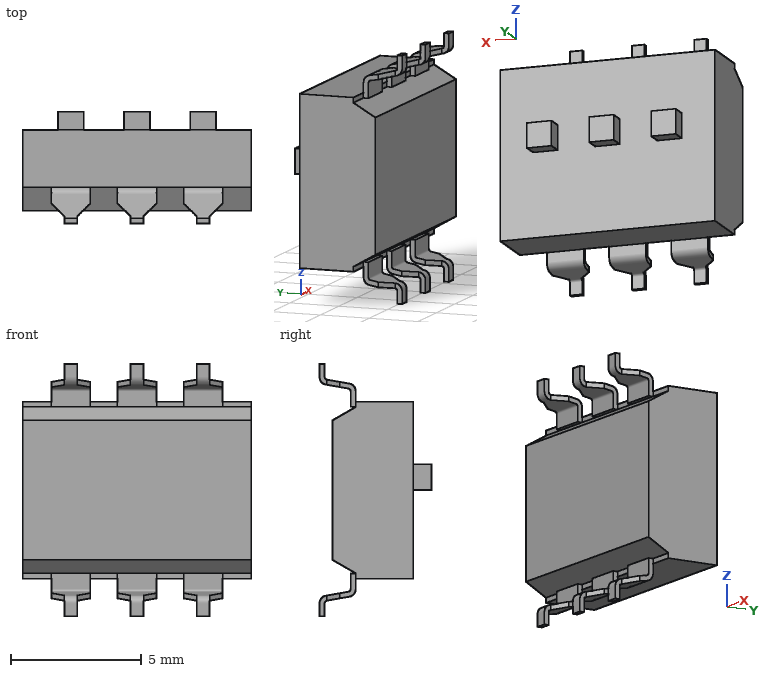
import cadquery as cq
import math


overall_height = 9.69
overall_depth = 4.3

lead_pitch = 2.54
leads_per_row = 3
sheet_thickness = 0.2
inner_bend_radius = 0.1
wide_width = 1.5
narrow_width = 0.5
lead_front = -1.4
tip_length = 0.5
shoulder_angle = 10.0

housing_width = 8.78
housing_height = 6.8
housing_front = -0.9
bevel_angle = 30.0
seat_height = 0.2

pad_side = 1.0
pad_height = 0.7

half_height = housing_height / 2
seat_edge = half_height - seat_height
bevel_edge = seat_edge + housing_front * math.tan(math.radians(bevel_angle))
housing_back = lead_front + overall_depth - pad_height
lead_places = [(i - (leads_per_row - 1) / 2) * lead_pitch for i in range(leads_per_row)]

tip_end = overall_height / 2
outer_bend_radius = inner_bend_radius + sheet_thickness
slope = math.radians(shoulder_angle)
root_bend_y = -outer_bend_radius
tip_bend_y = lead_front + outer_bend_radius
tip_bend_z = tip_end - tip_length
bend_run = root_bend_y - tip_bend_y
bend_rise = (outer_bend_radius + inner_bend_radius) / math.cos(slope) + bend_run * math.tan(slope)
root_bend_z = tip_bend_z - bend_rise


def make_housing():
    """Block with bevelled front edges and a row of standoff pads on its back face."""
    outline = [
        (housing_back, half_height),
        (0, half_height),
        (0, seat_edge),
        (housing_front, bevel_edge),
        (housing_front, -bevel_edge),
        (0, -seat_edge),
        (0, -half_height),
        (housing_back, -half_height),
    ]
    block = cq.Workplane("YZ").polyline(outline).close().extrude(housing_width / 2, both=True)
    for x in lead_places:
        pad = cq.Workplane("XY").box(pad_side, pad_height, pad_side, centered=(True, False, False))
        block = block.union(pad.translate((x, housing_back, 0)))
    return block


def bend_point(center_y, center_z, radius, angle):
    """Point (Y, Z) on a bend, at an angle in degrees from +Y towards +Z."""
    turn = math.radians(angle)
    return (center_y + radius * math.cos(turn), center_z + radius * math.sin(turn))


def root_point(radius, angle):
    return bend_point(root_bend_y, root_bend_z, radius, angle)


def tip_point(radius, angle):
    return bend_point(tip_bend_y, tip_bend_z, radius, angle)


def make_lead_sheet():
    """Bent sheet of full width for a lead of the top row, centred in X."""
    root_stop = 90 - shoulder_angle
    root_middle = root_stop / 2
    tip_start = 270 - shoulder_angle
    tip_middle = (tip_start + 180) / 2
    inner, outer = inner_bend_radius, outer_bend_radius
    return (
        cq.Workplane("YZ")
        .moveTo(0, seat_edge)
        .lineTo(*root_point(outer, 0))
        .threePointArc(root_point(outer, root_middle), root_point(outer, root_stop))
        .lineTo(*tip_point(inner, tip_start))
        .threePointArc(tip_point(inner, tip_middle), tip_point(inner, 180))
        .lineTo(lead_front + sheet_thickness, tip_end)
        .lineTo(lead_front, tip_end)
        .lineTo(*tip_point(outer, 180))
        .threePointArc(tip_point(outer, tip_middle), tip_point(outer, tip_start))
        .lineTo(*root_point(inner, root_stop))
        .threePointArc(root_point(inner, root_middle), root_point(inner, 0))
        .lineTo(-sheet_thickness, seat_edge)
        .close()
        .extrude(wide_width / 2, both=True)
    )


def make_lead_blank():
    """Prism along Z that narrows the sheet at 45 degrees, from the shoulder to the tip bend."""
    half_wide = wide_width / 2
    half_narrow = narrow_width / 2
    taper_end = tip_bend_y - inner_bend_radius * math.sin(slope)
    taper_start = taper_end + half_wide - half_narrow
    outline = [
        (half_wide, 0),
        (half_wide, taper_start),
        (half_narrow, taper_end),
        (half_narrow, lead_front),
        (-half_narrow, lead_front),
        (-half_narrow, taper_end),
        (-half_wide, taper_start),
        (-half_wide, 0),
    ]
    return cq.Workplane("XY").polyline(outline).close().extrude(tip_end)


def make_leads():
    """Top and bottom rows of leads, the bottom row mirrored from the top one."""
    top_lead = make_lead_sheet().intersect(make_lead_blank())
    bottom_lead = top_lead.mirror("XY")
    leads = []
    for x in lead_places:
        for lead in (top_lead, bottom_lead):
            leads.append(lead.translate((x, 0, 0)).solids().val())
    return leads


housing = make_housing()
leads = make_leads()

result = cq.Compound.makeCompound([housing.solids().val(), *leads])